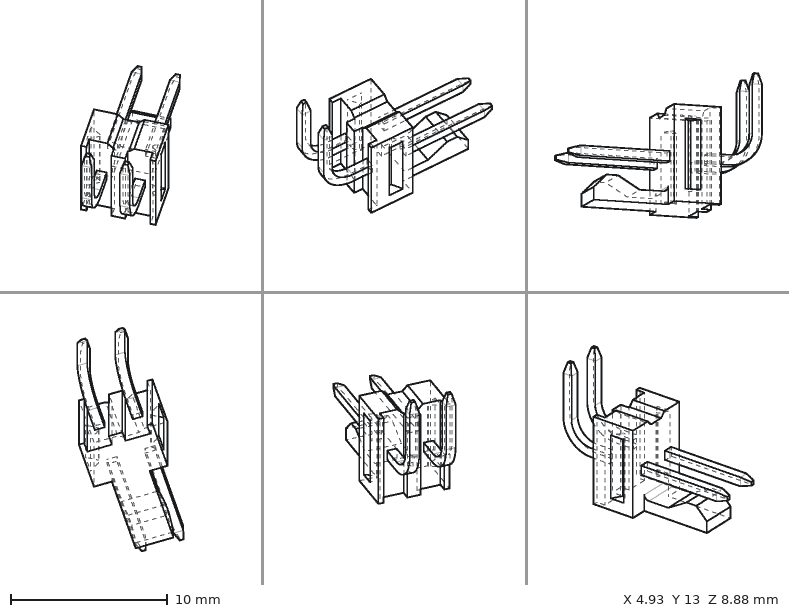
import cadquery as cq


housing_width = 4.93
housing_height = 6.32
housing_front = 3.05
housing_back = 6.22
housing_depth = housing_back - housing_front

recess_depth = 0.63
flange_width = 0.36
rib_width = 0.91
recess_width = (housing_width - rib_width) / 2 - flange_width

notch_top_width = 1.77
notch_bottom_width = 1.05
notch_depth = 0.36

pocket_mouth_width = 1.04
pocket_floor_width = 0.15
pocket_depth = 0.71
pocket_center_y = 4.95
pocket_bottom = 0.85
pocket_height = 4.57

latch_length = 5.0
latch_thickness = 0.84
latch_height = 1.7
latch_lead_in = 0.85
latch_crest = 0.76
latch_ramp = 1.46
latch_root_fillet = 0.35

pin_pitch = 2.54
pin_size = 0.66
pin_tip_size = 0.27
pin_tip_length = 0.74
pin_length = 12.95
pin_top = 8.88
pin_bottom = 2.76
pin_bend_radius = 2.2

latch_width = pin_pitch


def side_profile(width):
    """Sketch plane along Y and Z, placed so a positive extrusion is centred on X = 0."""
    return cq.Workplane("YZ", origin=(-width / 2, 0, 0))


def make_housing():
    body = cq.Workplane("XY").box(
        housing_width, housing_depth, housing_height, centered=(True, False, False)
    ).translate((0, housing_front, 0))

    recess_center = (rib_width + recess_width) / 2
    recesses = (
        cq.Workplane("XY")
        .pushPoints([(side * recess_center, housing_front + recess_depth / 2) for side in (-1, 1)])
        .rect(recess_width, recess_depth)
        .extrude(housing_height)
    )

    notch_floor = housing_height - notch_depth
    notch = (
        cq.Workplane("XZ", origin=(0, housing_front, 0))
        .moveTo(-notch_top_width / 2, housing_height)
        .lineTo(-notch_bottom_width / 2, notch_floor)
        .lineTo(notch_bottom_width / 2, notch_floor)
        .lineTo(notch_top_width / 2, housing_height)
        .close()
        .extrude(-housing_depth)
    )

    side_face = housing_width / 2
    pocket_floor = side_face - pocket_depth
    pocket = (
        cq.Workplane("XY", origin=(0, pocket_center_y, pocket_bottom))
        .moveTo(side_face, -pocket_mouth_width / 2)
        .lineTo(side_face, pocket_mouth_width / 2)
        .lineTo(pocket_floor, pocket_floor_width / 2)
        .lineTo(pocket_floor, -pocket_floor_width / 2)
        .close()
        .extrude(pocket_height)
    )
    return body.cut(recesses).cut(notch).cut(pocket).cut(pocket.mirror("YZ"))


def make_latch():
    tip = housing_back + latch_length
    crest_outer = tip - latch_lead_in
    crest_inner = crest_outer - latch_crest
    return (
        side_profile(latch_width)
        .moveTo(housing_back, 0)
        .lineTo(tip, 0)
        .lineTo(tip, latch_thickness)
        .lineTo(crest_outer, latch_height)
        .lineTo(crest_inner, latch_height)
        .lineTo(crest_inner - latch_ramp, latch_thickness)
        .lineTo(housing_back + latch_root_fillet, latch_thickness)
        .radiusArc((housing_back, latch_thickness + latch_root_fillet), latch_root_fillet)
        .close()
        .extrude(latch_width)
    )


def make_tip(plane):
    """Square taper from the full pin section to its blunt end, along the plane normal."""
    return (
        cq.Workplane(plane)
        .rect(pin_size, pin_size)
        .workplane(offset=pin_tip_length)
        .rect(pin_tip_size, pin_tip_size)
        .loft(ruled=True)
    )


def make_pin():
    shank_end = pin_length - pin_tip_length
    leg_end = pin_top - pin_tip_length
    bend_center_z = pin_bottom + pin_bend_radius
    inner_radius = pin_bend_radius - pin_size
    shank_top = pin_bottom + pin_size
    shank = (
        side_profile(pin_size)
        .moveTo(shank_end, pin_bottom)
        .lineTo(pin_bend_radius, pin_bottom)
        .radiusArc((0, bend_center_z), pin_bend_radius)
        .lineTo(0, leg_end)
        .lineTo(pin_size, leg_end)
        .lineTo(pin_size, bend_center_z)
        .radiusArc((pin_bend_radius, shank_top), -inner_radius)
        .lineTo(shank_end, shank_top)
        .close()
        .extrude(pin_size)
    )
    mating_tip = make_tip(cq.Plane((0, shank_end, pin_bottom + pin_size / 2), (1, 0, 0), (0, 1, 0)))
    solder_tip = make_tip(cq.Plane((0, pin_size / 2, leg_end), (1, 0, 0), (0, 0, 1)))
    return shank.union(mating_tip).union(solder_tip)


result = make_housing().union(make_latch())
for side in (-1, 1):
    result = result.union(make_pin().translate((side * pin_pitch / 2, 0, 0)))